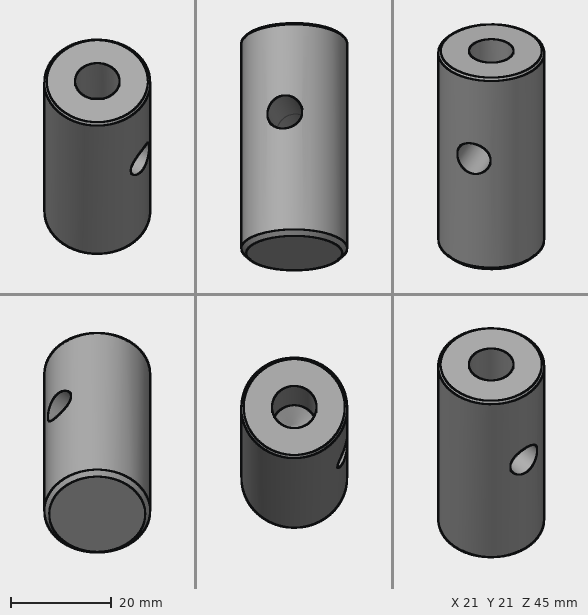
import cadquery as cq
import math

height = 45.0
diameter = 21.0
top_chamfer = 0.5
bottom_chamfer = 1.0

bore_diameter = 8.8
bore_depth = 12.0
drill_point_angle = 118.0

cross_diameter = 7.0
cross_height = 26.0


def make_body():
    body = cq.Workplane("XY").circle(diameter / 2).extrude(height)
    body = body.faces(">Z").chamfer(top_chamfer)
    return body.faces("<Z").chamfer(bottom_chamfer)


def make_bore():
    radius = bore_diameter / 2
    point_depth = radius / math.tan(math.radians(drill_point_angle / 2))
    shoulder = height - bore_depth
    return (
        cq.Workplane("XZ")
        .moveTo(0, height)
        .lineTo(radius, height)
        .lineTo(radius, shoulder)
        .lineTo(0, shoulder - point_depth)
        .close()
        .revolve(360, (0, 0), (0, 1))
    )


def make_cross_hole():
    return (
        cq.Workplane("YZ")
        .center(0, cross_height)
        .circle(cross_diameter / 2)
        .extrude(diameter, both=True)
    )


result = make_body().cut(make_bore()).cut(make_cross_hole())